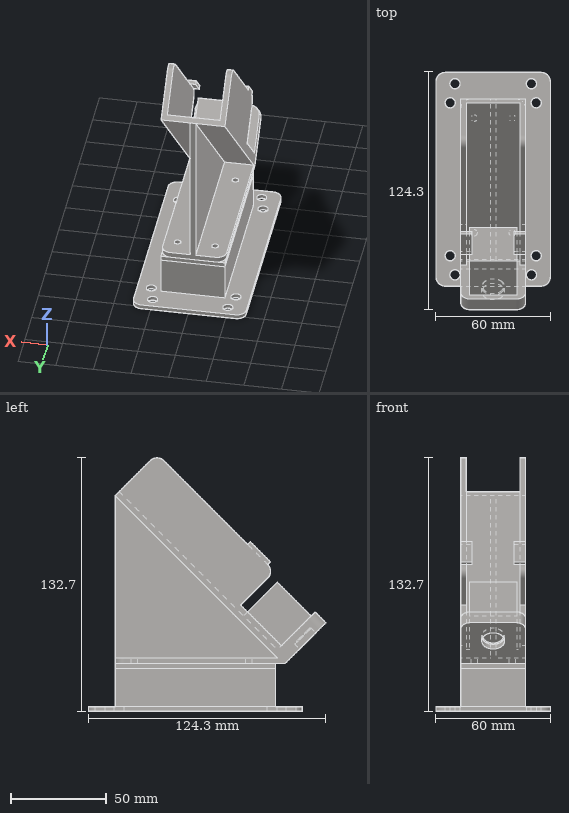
import cadquery as cq
import math

flange_width = 60.0
flange_length = 112.0
flange_thickness = 2.5
corner_radius = 5.0
pedestal_width = 34.0
pedestal_length = 84.0
pedestal_height = 20.0
mount_hole_diameter = 5.2
mount_hole_spacings = [(40.0, 100.0), (45.0, 80.0)]

lid_thickness = 2.5
lid_bottom = flange_thickness + pedestal_height
lid_top = lid_bottom + lid_thickness

slope_angle = 45.0
slope_sine = math.sin(math.radians(slope_angle))
foot_thickness = 3.0
foot_top = lid_top + foot_thickness
foot_back = pedestal_length / 2
slope_run = 120.0
rib_thickness = 3.0
channel_width = pedestal_width
channel_height = 31.0
lip_overhang = 5.0
channel_length = slope_run + lip_overhang
wall_thickness = 3.0
floor_thickness = 3.0
lip_thickness = 8.0
curb_height = 3.0
gap_length = 30.0
block_size = 25.0
lip_hole_diameter = 12.0
lip_hole_depth = 4.0
lip_hole_chamfer = 0.5
lip_hole_height = 17.5
tab_width = 6.0
tab_length = 15.0
tab_thickness = 2.0
tab_setback = 5.0
screw_hole_diameter = 3.4
screw_hole_spacing = (20.0, 60.0)
screw_hole_offset = 2.0

foot_front = foot_back - slope_run * slope_sine
slope_top = foot_top + slope_run * slope_sine
lip_start = channel_length - lip_thickness
wall_end = lip_start - gap_length

channel_location = cq.Location(
    cq.Plane(origin=(0, foot_back, slope_top), xDir=(1, 0, 0), normal=(0, -slope_sine, slope_sine))
)


def channel_box(x_center, width, start, length, bottom, height):
    """Flat-lying box; start is the distance down the slope from the back edge."""
    box = cq.Workplane("XY").box(width, length, height, centered=(True, True, False))
    return box.translate((x_center, -start - length / 2, bottom))


def make_base():
    flange = (
        cq.Workplane("XY").box(flange_width, flange_length, flange_thickness, centered=(True, True, False))
        .edges("|Z").fillet(corner_radius)
    )
    for spacing_x, spacing_y in mount_hole_spacings:
        flange = (
            flange.faces(">Z").workplane(origin=(0, 0, flange_thickness))
            .rarray(spacing_x, spacing_y, 2, 2).hole(mount_hole_diameter)
        )
    pedestal = (
        cq.Workplane("XY").workplane(offset=flange_thickness)
        .rect(pedestal_width, pedestal_length).extrude(pedestal_height)
    )
    return flange.union(pedestal)


def make_lid():
    return (
        cq.Workplane("XY").workplane(offset=lid_bottom)
        .rect(pedestal_width, pedestal_length).extrude(lid_thickness)
    )


def make_foot():
    front = foot_front - foot_thickness / math.tan(math.radians(slope_angle))
    foot_length = foot_back - front
    return (
        cq.Workplane("XY").box(pedestal_width, foot_length, foot_thickness, centered=(True, False, False))
        .translate((0, front, lid_top))
        .edges("|Z and >Y").fillet(corner_radius)
    )


def cut_screw_holes(cradle):
    holes = (
        cq.Workplane("XY").workplane(offset=lid_top, origin=(0, screw_hole_offset, 0))
        .rarray(*screw_hole_spacing, 2, 2).circle(screw_hole_diameter / 2).extrude(foot_thickness)
    )
    return cradle.cut(holes)


def make_rib():
    outline = [(foot_back, foot_top), (foot_back, slope_top), (foot_front, foot_top)]
    return cq.Workplane("YZ").polyline(outline).close().extrude(rib_thickness / 2, both=True)


def make_side_wall(side):
    """Side wall with rounded top corners, stepping down to the curb beside the block."""
    x_center = side * (channel_width - wall_thickness) / 2
    wall = channel_box(x_center, wall_thickness, 0, wall_end, 0, channel_height)
    wall = wall.faces(">Z").edges("|X").fillet(corner_radius)
    curb = channel_box(x_center, wall_thickness, wall_end, gap_length, 0, floor_thickness + curb_height)
    return wall.union(curb)


def make_tab(side):
    x_center = side * (channel_width - tab_width) / 2
    start = wall_end - tab_setback - tab_length
    return channel_box(x_center, tab_width, start, tab_length, channel_height, tab_thickness)


def make_lip():
    lip = channel_box(0, channel_width, lip_start, lip_thickness, 0, channel_height)
    return lip.faces(">Z").edges("|Y").fillet(corner_radius)


def make_lip_hole():
    """Blind round pocket in the outer face of the lip, chamfered around its bottom."""
    return (
        cq.Workplane("XZ", origin=(0, -channel_length, lip_hole_height))
        .circle(lip_hole_diameter / 2).extrude(-lip_hole_depth)
        .faces(">Y").edges().chamfer(lip_hole_chamfer)
    )


def make_channel():
    channel_floor = channel_box(0, channel_width, 0, lip_start, 0, floor_thickness)
    block = channel_box(0, block_size, lip_start - block_size, block_size, floor_thickness, block_size)
    channel = channel_floor.union(block).union(make_lip())
    for side in (-1, 1):
        channel = channel.union(make_side_wall(side)).union(make_tab(side))
    channel = channel.cut(make_lip_hole())
    return cq.Workplane(channel.val().moved(channel_location))


def make_cradle():
    cradle = make_channel().union(make_foot()).union(make_rib())
    cradle = cut_screw_holes(cradle)
    below_foot = cq.Workplane("XY").box(
        2 * flange_width, 2 * flange_length, lid_top, centered=(True, True, False)
    )
    return cradle.cut(below_foot)


base = make_base()
lid = make_lid()
cradle = make_cradle()

result = cq.Compound.makeCompound([base.val(), lid.val(), cradle.val()])